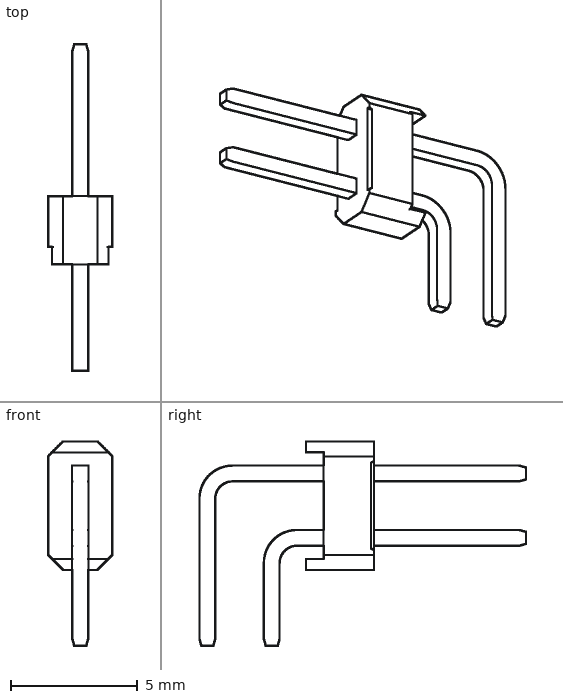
import cadquery as cq

pitch = 2.54
pin_width = 0.63
bend_radius = 0.99
tip_length = 0.27
tip_inset = 0.08
overall_length = 12.9
pin_back = 6.0
pin_front = pin_back - overall_length
total_height = 8.08

body_width = pitch
body_height = 2 * pitch
body_depth = 2.0
corner_chamfer = 0.59
lip_depth = 2.7
lip_thickness = 0.44
pin_bottom = body_height / 2 - total_height

bevel_size = 0.13
bevel_half_height = 1.77
bevel_end_taper = 0.08


def make_body():
    body = (
        cq.Workplane("XZ")
        .rect(body_width, body_height)
        .extrude(lip_depth)
        .edges("|Y")
        .chamfer(corner_chamfer)
    )
    front_relief = (
        cq.Workplane("XZ", origin=(0, -body_depth, 0))
        .rect(body_width, body_height - 2 * lip_thickness)
        .extrude(lip_depth - body_depth)
    )
    return body.cut(front_relief)


def make_edge_bevel():
    """Wedge along the left back edge, with ends that slope inward."""
    edge_x = -body_width / 2
    long_side = bevel_half_height
    short_side = bevel_half_height - bevel_end_taper
    wedge = (
        cq.Workplane("XY", origin=(0, 0, -long_side))
        .polyline([(edge_x, 0), (edge_x + bevel_size, 0), (edge_x, -bevel_size)])
        .close()
        .extrude(2 * long_side)
    )
    end_limits = (
        cq.Workplane("YZ", origin=(edge_x, 0, 0))
        .polyline([(0, -long_side), (0, long_side), (-bevel_size, short_side), (-bevel_size, -short_side)])
        .close()
        .extrude(bevel_size)
    )
    return wedge.intersect(end_limits)


def make_tip(plane):
    """Tapered pin end, growing along the normal of the given plane."""
    end_width = pin_width - 2 * tip_inset
    return (
        cq.Workplane(plane)
        .rect(pin_width, pin_width)
        .workplane(offset=tip_length)
        .rect(end_width, end_width)
        .loft(ruled=True)
    )


def make_pin(height, front):
    """Bent square pin with its upper arm at the given height and its leg's outer face at front."""
    leg_y = front + pin_width / 2
    arm_end = pin_back - tip_length
    leg_end = pin_bottom + tip_length
    path = (
        cq.Workplane("YZ")
        .moveTo(arm_end, height)
        .lineTo(leg_y + bend_radius, height)
        .tangentArcPoint((leg_y, height - bend_radius), relative=False)
        .lineTo(leg_y, leg_end)
    )
    back_plane = cq.Plane(origin=(0, arm_end, height), xDir=(1, 0, 0), normal=(0, 1, 0))
    bottom_plane = cq.Plane(origin=(0, leg_y, leg_end), xDir=(1, 0, 0), normal=(0, 0, -1))
    shaft = cq.Workplane(back_plane).rect(pin_width, pin_width).sweep(path)
    return shaft.union(make_tip(back_plane)).union(make_tip(bottom_plane))


left_bevel = make_edge_bevel()
result = make_body().cut(left_bevel).cut(left_bevel.mirror("YZ"))
for height, front in [(pitch / 2, pin_front), (-pitch / 2, pin_front + pitch)]:
    result = result.union(make_pin(height, front))